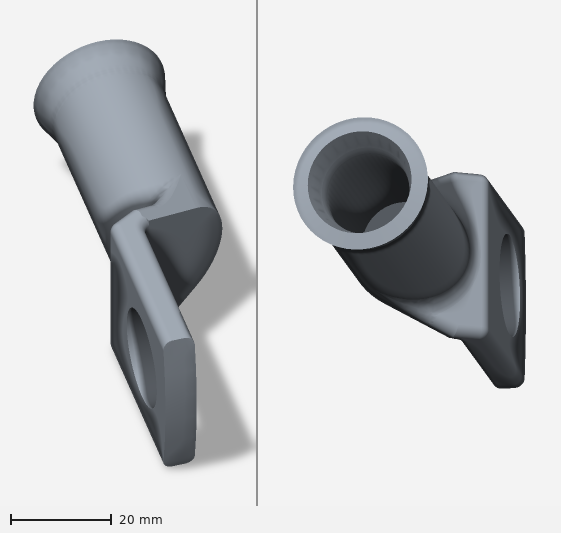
import cadquery as cq
import math

barrel_radius = 11.75
bore_radius = 8.5
wall = barrel_radius - bore_radius

flare_angle = math.radians(15)
flare_rim_radius = 13.65
flare_end_x = 8.8
flare_bend_radius = 7.6

total_length = 93.86
palm_width = 34.0
palm_thickness = 2 * wall
palm_front_y = -14.6
palm_back_y = palm_front_y + palm_thickness
palm_end_radius = 85.0
hole_radius = 10.25
hole_x = 77.75

web_angle = math.radians(60)
web_thickness = 4.9
web_front_corner_x = 55.6
inner_bend_radius = 2.7
edge_radius = 2.0
web_blend_radius = 3.3
flank_corner_y = -7.85

tangent_gap = 0.05
tolerance = 0.01
clearance = 10.0

web_slope_x = 1 / math.tan(web_angle)
web_width_x = web_thickness / math.sin(web_angle)
bore_end_x = (
    web_front_corner_x + web_width_x - (bore_radius - palm_front_y) * web_slope_x
    - wall / math.sin(web_angle)
)


def web_front_x(y):
    return web_front_corner_x - (y - palm_front_y) * web_slope_x


def web_back_x(y):
    return web_front_x(y) + web_width_x


def make_plate():
    """Bent plate (web and palm), wider than the part and with sharp bends."""
    top_y = barrel_radius + clearance
    return (
        cq.Workplane("XY")
        .moveTo(web_front_corner_x, palm_front_y)
        .lineTo(total_length + clearance, palm_front_y)
        .lineTo(total_length + clearance, palm_back_y)
        .lineTo(web_back_x(palm_back_y), palm_back_y)
        .lineTo(web_back_x(top_y), top_y)
        .lineTo(web_front_x(top_y), top_y)
        .close()
        .extrude(palm_width, both=True)
    )


def make_barrel():
    """Solid straight barrel, cut off along the back face of the web."""
    top_y = barrel_radius + clearance
    barrel = cq.Workplane("YZ", origin=(flare_end_x, 0, 0)).circle(barrel_radius).extrude(total_length)
    keep = (
        cq.Workplane("XY")
        .moveTo(-clearance, top_y)
        .lineTo(web_back_x(top_y), top_y)
        .lineTo(web_back_x(-top_y), -top_y)
        .lineTo(-clearance, -top_y)
        .close()
        .extrude(palm_width, both=True)
    )
    return barrel.intersect(keep)


def make_envelope():
    """Prism bounding web and palm, with flanks that run tangent from the barrel to the palm.

    It stops just short of the tangent line, because the rounded edges fade to nothing there.
    """
    half_width = palm_width / 2
    corner_distance = math.hypot(flank_corner_y, half_width)
    tangent_angle = (
        math.atan2(half_width, flank_corner_y) - math.acos(barrel_radius / corner_distance)
    )
    flank_top_y = barrel_radius * math.cos(tangent_angle) - tangent_gap * math.sin(tangent_angle)
    flank_top_z = barrel_radius * math.sin(tangent_angle) + tangent_gap * math.cos(tangent_angle)
    return (
        cq.Workplane("YZ")
        .moveTo(flank_top_y, flank_top_z)
        .lineTo(flank_corner_y, half_width)
        .lineTo(palm_front_y, half_width)
        .lineTo(palm_front_y, -half_width)
        .lineTo(flank_corner_y, -half_width)
        .lineTo(flank_top_y, -flank_top_z)
        .close()
        .extrude(total_length + clearance)
    )


def is_front_edge(edge):
    """Outer bend, palm front edges and straight web front edges; the far stock end is left out."""
    middle = edge.Center()
    on_palm_front = abs(middle.y - palm_front_y) < tolerance
    on_web_front = abs(middle.x - web_front_x(middle.y)) < tolerance
    before_stock_end = middle.x < total_length
    return edge.geomType() == "LINE" and before_stock_end and (on_palm_front or on_web_front)


def is_inner_bend(edge):
    middle = edge.Center()
    corner = cq.Vector(web_back_x(palm_back_y), palm_back_y, 0)
    return (middle - corner).Length < tolerance


def back_edge_profile(x):
    """Section at the given X of the waste outside one rounded back edge."""
    half_width = palm_width / 2
    outside = edge_radius / 2
    arc_inset = edge_radius * (1 - math.sqrt(0.5))
    return (
        cq.Workplane("YZ", origin=(x, 0, 0))
        .moveTo(palm_back_y - edge_radius, half_width)
        .threePointArc(
            (palm_back_y - arc_inset, half_width - arc_inset),
            (palm_back_y, half_width - edge_radius),
        )
        .lineTo(palm_back_y + outside, half_width - edge_radius)
        .lineTo(palm_back_y + outside, half_width + outside)
        .lineTo(palm_back_y - edge_radius, half_width + outside)
        .close()
    )


def make_back_edge_cutters():
    """Waste along both back edges of the palm, following the curve of the inner bend."""
    bend_end_x = web_back_x(palm_back_y) + inner_bend_radius * math.tan(web_angle / 2)
    bend_axis_y = palm_back_y + inner_bend_radius
    along_palm = back_edge_profile(bend_end_x).extrude(total_length)
    around_bend = back_edge_profile(bend_end_x).revolve(
        math.degrees(web_angle), (bend_axis_y, 1), (bend_axis_y, 0)
    )
    cutter = along_palm.union(around_bend)
    return cutter.union(cutter.mirror("XY"))


def make_body():
    """Barrel, web and palm, all solid, with their fillets."""
    barrel = make_barrel()
    blended = make_plate().union(barrel).edges("%ELLIPSE").fillet(web_blend_radius)
    body = blended.intersect(make_envelope())
    body = body.edges().filter(is_front_edge).fillet(edge_radius).union(barrel)
    body = body.edges().filter(is_inner_bend).fillet(inner_bend_radius)
    return body.cut(make_back_edge_cutters())


def bend_point(angle, radius_at_barrel, bend_radius):
    """Point (x, radius) on a flare bend where the tube wall is tilted by the angle."""
    return (
        flare_end_x - bend_radius * math.sin(angle),
        radius_at_barrel + bend_radius * (1 - math.cos(angle)),
    )


def make_flare():
    """Flared mouth of the tube; its rim is square to the tilted wall."""
    inner_bend = flare_bend_radius + wall
    rim_x = wall * math.sin(flare_angle)
    rim_inner_radius = flare_rim_radius - wall * math.cos(flare_angle)
    return (
        cq.Workplane("XY")
        .moveTo(0, rim_inner_radius)
        .lineTo(rim_x, flare_rim_radius)
        .lineTo(*bend_point(flare_angle, barrel_radius, flare_bend_radius))
        .threePointArc(
            bend_point(flare_angle / 2, barrel_radius, flare_bend_radius),
            (flare_end_x, barrel_radius),
        )
        .lineTo(flare_end_x, bore_radius)
        .threePointArc(
            bend_point(flare_angle / 2, bore_radius, inner_bend),
            bend_point(flare_angle, bore_radius, inner_bend),
        )
        .close()
        .revolve(360, (0, 0, 0), (1, 0, 0))
    )


def make_palm_end():
    """Large cylinder along Y that rounds the free end of the palm."""
    return (
        cq.Workplane("XZ")
        .center(total_length - palm_end_radius, 0)
        .circle(palm_end_radius)
        .extrude(total_length, both=True)
    )


def make_bolt_hole():
    return cq.Workplane("XZ").center(hole_x, 0).circle(hole_radius).extrude(total_length, both=True)


def make_bore():
    """Flat-bottomed bore, starting where the flare ends."""
    depth = bore_end_x - flare_end_x
    return cq.Workplane("YZ", origin=(flare_end_x, 0, 0)).circle(bore_radius).extrude(depth)


result = (
    make_body()
    .cut(make_bore())
    .union(make_flare())
    .intersect(make_palm_end())
    .cut(make_bolt_hole())
)